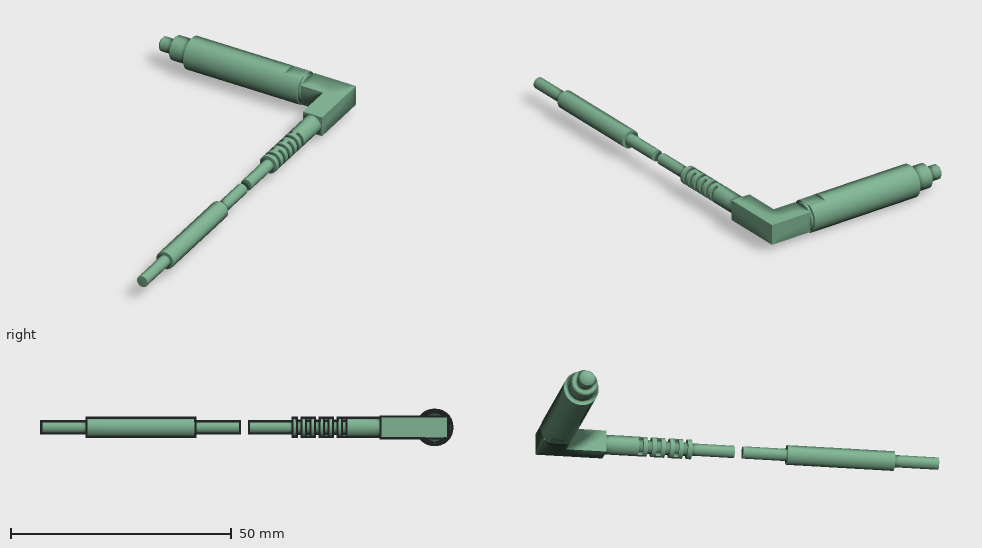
import cadquery as cq


pin_length = 3.8
pin_diameter = 3.5
tip_height = 0.7
nose_length = 4.5
nose_diameter = 6.0
nose_chamfer = 0.3
sleeve_length = 29.7
sleeve_diameter = 8.0
flat_length = 4.3
flat_height = 3.45
collar_length = 0.6
collar_diameter = 6.8

overall_length = 49.5
elbow_width = 6.15
elbow_leg_width = 5.0
elbow_height = 5.0
elbow_end_y = -12.3

relief_diameter = 4.5
relief_plain_length = 7.6
groove_count = 6
groove_pitch = 2.05
groove_width = groove_pitch / 2
core_diameter = 3.1
rib_width = 1.0

cable_diameter = 2.8
cable_stub_length = 9.9
cable_gap = 2.0
overall_span_y = 93.2
cable_end_y = sleeve_diameter / 2 - overall_span_y
inline_diameter = 4.5
inline_lead = 10.2
inline_length = 24.7

nose_start = pin_length
sleeve_start = nose_start + nose_length
sleeve_end = sleeve_start + sleeve_length
elbow_start = sleeve_end + collar_length
cable_x = overall_length - elbow_leg_width / 2
relief_start_y = elbow_end_y
groove_origin_y = relief_start_y - relief_plain_length
relief_grooved_length = groove_count * groove_pitch
relief_end_y = groove_origin_y - relief_grooved_length


def rod_x(start, length, diameter):
    """Cylinder on the connector axis, running toward +X."""
    return cq.Workplane("YZ", origin=(start, 0, 0)).circle(diameter / 2).extrude(length)


def rod_y(start, length, diameter):
    """Cylinder on the cable axis, running toward -Y."""
    return cq.Workplane("XZ", origin=(cable_x, start, 0)).circle(diameter / 2).extrude(length)


def make_connector_sleeve():
    pin_radius = pin_diameter / 2
    dome_radius = (pin_radius**2 + tip_height**2) / (2 * tip_height)
    dome = cq.Workplane("XY").sphere(dome_radius).translate((dome_radius, 0, 0))
    domed_tip = rod_x(0, tip_height, pin_diameter).intersect(dome)
    pin = rod_x(tip_height, pin_length - tip_height, pin_diameter).union(domed_tip)
    nose = rod_x(nose_start, nose_length, nose_diameter).faces("<X").chamfer(nose_chamfer)
    barrel = rod_x(sleeve_start, sleeve_length - flat_length, sleeve_diameter)
    flatted_end = rod_x(sleeve_end - flat_length, flat_length, sleeve_diameter).intersect(
        cq.Workplane("XY")
        .box(flat_length, sleeve_diameter, 2 * flat_height)
        .translate((sleeve_end - flat_length / 2, 0, 0))
    )
    collar = rod_x(sleeve_end, collar_length, collar_diameter)
    return pin.union(nose).union(barrel).union(flatted_end).union(collar)


def make_elbow():
    half_width = elbow_width / 2
    inner_x = overall_length - elbow_leg_width
    return (
        cq.Workplane("XY")
        .polyline([
            (elbow_start, half_width),
            (overall_length, half_width),
            (overall_length, elbow_end_y),
            (inner_x, elbow_end_y),
            (inner_x, -half_width),
            (elbow_start, -half_width),
        ])
        .close()
        .extrude(elbow_height / 2, both=True)
    )


def groove_cutter(start_y, ribbed):
    """Ring around the core; a ribbed groove keeps a web above and below the core."""
    cutter = rod_y(start_y, groove_width, relief_diameter).cut(rod_y(start_y, groove_width, core_diameter))
    if ribbed:
        web = cq.Workplane("XY").box(rib_width, groove_width, relief_diameter)
        cutter = cutter.cut(web.translate((cable_x, start_y - groove_width / 2, 0)))
    return cutter


def make_strain_relief():
    relief = rod_y(relief_start_y, relief_plain_length + relief_grooved_length, relief_diameter)
    for index in range(groove_count):
        ribbed = index % 2 == 0
        relief = relief.cut(groove_cutter(groove_origin_y - index * groove_pitch, ribbed))
    return relief


def make_plug():
    cable_stub = rod_y(relief_end_y, cable_stub_length, cable_diameter)
    return make_connector_sleeve().union(make_elbow()).union(make_strain_relief()).union(cable_stub)


def make_inline_cable():
    cable_start_y = relief_end_y - cable_stub_length - cable_gap
    cable = rod_y(cable_start_y, cable_start_y - cable_end_y, cable_diameter)
    inline_sleeve = rod_y(cable_start_y - inline_lead, inline_length, inline_diameter)
    return cable.union(inline_sleeve)


plug = make_plug()
inline_cable = make_inline_cable()
result = cq.Compound.makeCompound([plug.val(), inline_cable.val()])